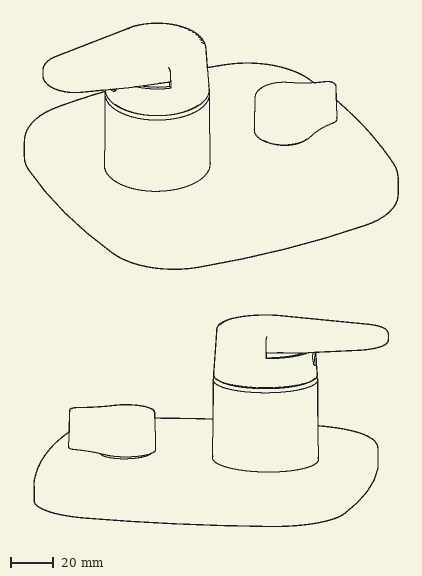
import cadquery as cq
import math

plate_half = 76.7
corner_near = 43.4
corner_far = 73.7
corner_mid = 63.8
plate_crown_z = 13.9
plate_dome_radius = 1794.0
plate_edge_fillet = 3.1

column_y = -28.2
column_base_radius = 24.8
column_top_radius = 24.5
column_top_z = 51.5
column_root_z = 8.2

cap_base_z = 53.8
cap_base_radius = 24.3
groove_radius = 23.2
groove_width = 0.7
cap_top_radius = 22.7
top_z = 77.5
shoulder_z = 67.7
top_fillet = 2.0

lever_tip_radius = 14.2
lever_tip_y = column_y - 44.0
lever_root_z = 70.0
lever_tip_z = 71.6
lever_lower_fillet = 1.5
selection_margin = 0.2
neck_radius = 21.7

recess_z = 64.0
recess_radius = 4.2
recess_floor = 22.7

knob_y = 38.0
knob_radius = 13.9
knob_tip_y = 60.8
knob_tip_radius = 4.4
knob_flank_radius = 37.0
knob_base_z = 14.8
knob_top_z = 33.3
knob_draft = 1.4
knob_fillet = 0.8
pedestal_radius = 12.0


def make_plate():
    near, far, mid = corner_near, corner_far, corner_mid
    outline = cq.Workplane("XY").moveTo(near, far)
    for quarter in range(4):
        angle = -math.pi / 2 * quarter
        c, s = round(math.cos(angle)), round(math.sin(angle))

        def turned(x, y):
            return (c * x - s * y, s * x + c * y)

        outline = outline.threePointArc(turned(mid, mid), turned(far, near))
        outline = outline.threePointArc(turned(plate_half, 0), turned(far, -near))
    dome = cq.Workplane("XY").sphere(plate_dome_radius)
    dome = dome.translate((0, 0, plate_crown_z - plate_dome_radius))
    plate = outline.close().extrude(2 * plate_crown_z).intersect(dome)
    return plate.faces(">Z").edges().fillet(plate_edge_fillet)


def lever_taper_offset():
    sine = (cap_top_radius - lever_tip_radius) / (column_y - lever_tip_y)
    return cap_top_radius * sine


def make_column():
    profile = [
        (0, column_root_z),
        (column_base_radius, column_root_z),
        (column_top_radius, column_top_z),
        (groove_radius, cap_base_z - groove_width),
        (groove_radius, cap_base_z),
        (cap_base_radius, cap_base_z),
        (cap_top_radius, top_z),
        (0, top_z),
    ]
    column = cq.Workplane("XZ").polyline(profile).close().revolve(360, (0, 0), (0, 1))
    column = column.faces(">Z").edges().fillet(top_fillet)
    front_space = (
        cq.Workplane("XY", origin=(0, -lever_taper_offset(), shoulder_z))
        .rect(2 * cap_base_radius, 2 * cap_base_radius)
        .extrude(top_z - shoulder_z)
        .translate((0, -cap_base_radius, 0))
    )
    recess = (
        cq.Workplane("XZ", origin=(0, -recess_floor, recess_z))
        .circle(recess_radius)
        .extrude(cap_base_radius - recess_floor)
    )
    return column.cut(front_space).cut(recess).translate((0, column_y, 0))


def make_lever():
    sine = lever_taper_offset() / cap_top_radius
    cosine = math.sqrt(1 - sine**2)
    pivot_x, pivot_y = cap_top_radius * cosine, column_y - lever_taper_offset()
    tip_x, tip_y = lever_tip_radius * cosine, lever_tip_y - lever_tip_radius * sine
    lever = (
        cq.Workplane("XY", origin=(0, 0, shoulder_z))
        .moveTo(-pivot_x, pivot_y)
        .threePointArc((0, column_y + cap_top_radius), (pivot_x, pivot_y))
        .lineTo(tip_x, tip_y)
        .threePointArc((0, lever_tip_y - lever_tip_radius), (-tip_x, tip_y))
        .close()
        .extrude(top_z - shoulder_z)
        .faces(">Z")
        .edges()
        .fillet(top_fillet)
    )
    tip_end = lever_tip_y - lever_tip_radius
    back_end = column_y + cap_top_radius
    underside = (
        cq.Workplane("YZ")
        .moveTo(back_end, shoulder_z)
        .lineTo(back_end, lever_root_z)
        .lineTo(column_y - cap_top_radius, lever_root_z)
        .lineTo(tip_end, lever_tip_z)
        .lineTo(tip_end, shoulder_z)
        .close()
        .extrude(cap_base_radius, both=True)
    )
    lower_rim = cq.selectors.BoxSelector(
        (-cap_base_radius, tip_end - selection_margin, shoulder_z),
        (cap_base_radius, column_y - cap_top_radius, lever_tip_z + selection_margin),
    )
    lever = lever.cut(underside).edges(lower_rim).fillet(lever_lower_fillet)
    neck = (
        cq.Workplane("XY", origin=(0, column_y, shoulder_z))
        .circle(neck_radius)
        .extrude(lever_tip_z - shoulder_z)
    )
    return lever.union(neck)


def make_knob():
    spacing = knob_tip_y - knob_y
    to_body = knob_radius + knob_flank_radius
    to_tip = knob_tip_radius + knob_flank_radius
    rise = (to_body**2 - to_tip**2 + spacing**2) / (2 * spacing)
    flank_x = math.sqrt(to_body**2 - rise**2)
    flank_y = knob_y + rise

    body_x = flank_x * knob_radius / to_body
    body_y = knob_y + rise * knob_radius / to_body
    tip_x = flank_x * knob_tip_radius / to_tip
    tip_y = knob_tip_y + (flank_y - knob_tip_y) * knob_tip_radius / to_tip
    chord_x, chord_y = (body_x + tip_x) / 2 - flank_x, (body_y + tip_y) / 2 - flank_y
    reach = knob_flank_radius / math.hypot(chord_x, chord_y)
    mid_x, mid_y = flank_x + chord_x * reach, flank_y + chord_y * reach

    knob = (
        cq.Workplane("XY", origin=(0, 0, knob_base_z))
        .moveTo(-body_x, body_y)
        .threePointArc((0, knob_y - knob_radius), (body_x, body_y))
        .threePointArc((mid_x, mid_y), (tip_x, tip_y))
        .threePointArc((0, knob_tip_y + knob_tip_radius), (-tip_x, tip_y))
        .threePointArc((-mid_x, mid_y), (-body_x, body_y))
        .close()
        .extrude(knob_top_z - knob_base_z, taper=knob_draft)
        .faces(">Z")
        .edges()
        .fillet(knob_fillet)
    )
    pedestal = (
        cq.Workplane("XY", origin=(0, knob_y, column_root_z))
        .circle(pedestal_radius)
        .extrude(knob_base_z - column_root_z)
    )
    return knob.union(pedestal)


result = make_plate().union(make_column()).union(make_lever()).union(make_knob())